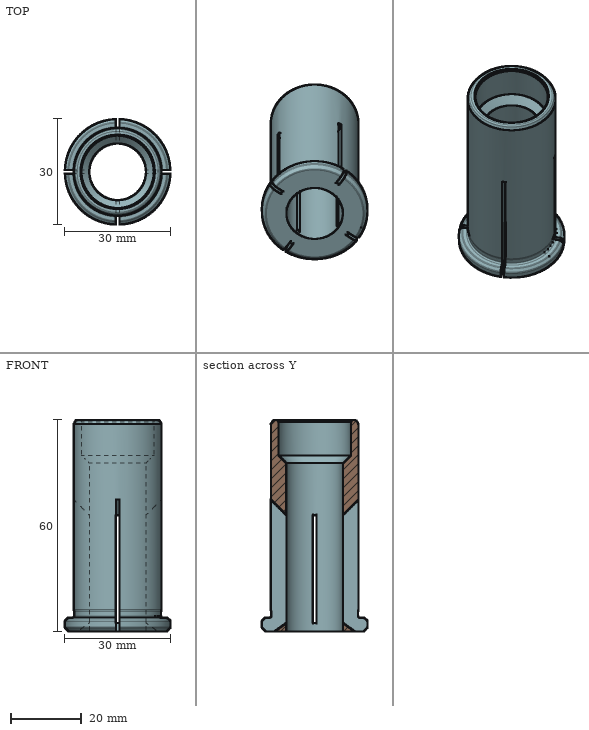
import cadquery as cq
import math

TOTAL_LENGTH = 60.0
BODY_RADIUS = 25.0 / 2
TOP_CHAMFER_HEIGHT = 1.15
TOP_CHAMFER_ANGLE = 30.0
TOP_EDGE_ROUNDING = 0.6
TOP_RIM_RADIUS = BODY_RADIUS - TOP_CHAMFER_HEIGHT * math.tan(math.radians(TOP_CHAMFER_ANGLE))

FLANGE_RADIUS = 30.0 / 2
FLANGE_HEIGHT = 4.0
FLANGE_BOTTOM_CHAMFER = 1.15
FLANGE_TOP_CHAMFER_HEIGHT = 0.9
FLANGE_TOP_CHAMFER_WIDTH = 1.0
FLANGE_EDGE_ROUNDING = 0.5
FLANGE_FACE_ROUNDING = 0.4

NECK_RADIUS = 12.35
NECK_TOP = 5.75
NECK_BLEND_TOP = 6.3
NECK_FILLET = 0.45

BORE_RADIUS = 16.0 / 2
SOCKET_RADIUS = 20.5 / 2
SOCKET_DEPTH = 10.0
SOCKET_CHAMFER_HEIGHT = 0.55
SOCKET_CHAMFER_WIDTH = 0.3

SLOT_COUNT = 4
SLOT_WIDTH = 1.0
SLOT_TOP = 37.5
SLOT_FLOOR_AT_BORE = 2.5
SLOT_FLOOR_END_RADIUS = 11.5
SLOT_CLEARANCE = 1.0


def outer_body():
    """Flanged body turned about Z, with its sharp outline edges."""
    profile = (
        cq.Workplane("XZ")
        .moveTo(0, 0)
        .lineTo(FLANGE_RADIUS - FLANGE_BOTTOM_CHAMFER, 0)
        .lineTo(FLANGE_RADIUS, FLANGE_BOTTOM_CHAMFER)
        .lineTo(FLANGE_RADIUS, FLANGE_HEIGHT - FLANGE_TOP_CHAMFER_HEIGHT)
        .lineTo(FLANGE_RADIUS - FLANGE_TOP_CHAMFER_WIDTH, FLANGE_HEIGHT)
        .lineTo(NECK_RADIUS, FLANGE_HEIGHT)
        .lineTo(NECK_RADIUS, NECK_TOP)
        .lineTo(BODY_RADIUS, NECK_BLEND_TOP)
        .lineTo(BODY_RADIUS, TOTAL_LENGTH - TOP_CHAMFER_HEIGHT)
        .lineTo(TOP_RIM_RADIUS, TOTAL_LENGTH)
        .lineTo(0, TOTAL_LENGTH)
        .close()
    )
    return profile.revolve(360, (0, 0, 0), (0, 1, 0))


def circle_edge_at(body, radius, height):
    """Circular edge of the given radius and height around Z."""
    tolerance = 0.01
    found = [
        edge
        for edge in body.edges("%CIRCLE").vals()
        if abs(edge.radius() - radius) < tolerance
        and abs(edge.Center().z - height) < tolerance
    ]
    return body.newObject(found)


def round_edges(body):
    """Round the flange and top rim edges and fillet the neck root."""
    roundings = [
        (FLANGE_RADIUS - FLANGE_BOTTOM_CHAMFER, 0, FLANGE_FACE_ROUNDING),
        (FLANGE_RADIUS - FLANGE_TOP_CHAMFER_WIDTH, FLANGE_HEIGHT, FLANGE_FACE_ROUNDING),
        (FLANGE_RADIUS, FLANGE_BOTTOM_CHAMFER, FLANGE_EDGE_ROUNDING),
        (FLANGE_RADIUS, FLANGE_HEIGHT - FLANGE_TOP_CHAMFER_HEIGHT, FLANGE_EDGE_ROUNDING),
        (NECK_RADIUS, FLANGE_HEIGHT, NECK_FILLET),
        (TOP_RIM_RADIUS, TOTAL_LENGTH, TOP_EDGE_ROUNDING),
    ]
    for radius, height, fillet in roundings:
        body = circle_edge_at(body, radius, height).fillet(fillet)
    return body


def bore():
    """Through bore with a socket, a 45 degree seat and a steep mouth chamfer."""
    socket_floor = TOTAL_LENGTH - SOCKET_DEPTH
    profile = (
        cq.Workplane("XZ")
        .moveTo(0, 0)
        .lineTo(BORE_RADIUS, 0)
        .lineTo(BORE_RADIUS, socket_floor - (SOCKET_RADIUS - BORE_RADIUS))
        .lineTo(SOCKET_RADIUS, socket_floor)
        .lineTo(SOCKET_RADIUS, TOTAL_LENGTH - SOCKET_CHAMFER_HEIGHT)
        .lineTo(SOCKET_RADIUS + SOCKET_CHAMFER_WIDTH, TOTAL_LENGTH)
        .lineTo(0, TOTAL_LENGTH)
        .close()
    )
    return profile.revolve(360, (0, 0, 0), (0, 1, 0))


def slot(angle):
    """Slot through one side, with a 45 degree upper end and a sloping floor at the bottom."""
    wall = BODY_RADIUS - BORE_RADIUS
    inside = BORE_RADIUS - SLOT_CLEARANCE
    outside = FLANGE_RADIUS + SLOT_CLEARANCE
    profile = (
        cq.Workplane("XZ")
        .moveTo(inside, SLOT_TOP - wall - SLOT_CLEARANCE)
        .lineTo(BODY_RADIUS + SLOT_CLEARANCE, SLOT_TOP + SLOT_CLEARANCE)
        .lineTo(outside, SLOT_TOP + SLOT_CLEARANCE)
        .lineTo(outside, -SLOT_CLEARANCE)
        .lineTo(SLOT_FLOOR_END_RADIUS, -SLOT_CLEARANCE)
        .lineTo(SLOT_FLOOR_END_RADIUS, 0)
        .lineTo(BORE_RADIUS, SLOT_FLOOR_AT_BORE)
        .lineTo(inside, SLOT_FLOOR_AT_BORE)
        .close()
    )
    cutter = profile.extrude(SLOT_WIDTH / 2, both=True)
    return cutter.rotate((0, 0, 0), (0, 0, 1), angle)


result = round_edges(outer_body()).cut(bore())
for index in range(SLOT_COUNT):
    result = result.cut(slot(index * 360 / SLOT_COUNT))